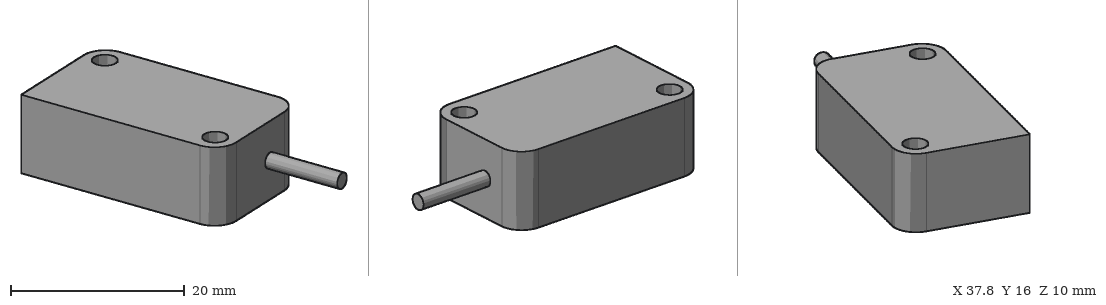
import cadquery as cq

body_length = 27.8
body_width = 16.0
body_height = 10.0
corner_radius = 3.0

hole_diameter = 3.0
hole_end_inset = 2.8
hole_side_inset = 2.85

cable_diameter = 2.0
cable_length = 10.0
cable_y = 10.0
cable_z = body_height / 2


def make_housing():
    """Block with three rounded upright corners; the corner at the origin stays sharp."""
    block = cq.Workplane("XY").box(body_length, body_width, body_height, centered=False)
    rounded = block.faces(">X").edges("|Z").fillet(corner_radius)
    return rounded.edges("|Z").edges("<X").edges(">Y").fillet(corner_radius)


def drill_mounting_holes(housing):
    """Through holes near the (-X, +Y) and (+X, -Y) corners."""
    hole_centers = [
        (hole_end_inset, body_width - hole_side_inset),
        (body_length - hole_end_inset, hole_side_inset),
    ]
    drills = (
        cq.Workplane("XY")
        .pushPoints(hole_centers)
        .circle(hole_diameter / 2)
        .extrude(body_height)
    )
    return housing.cut(drills)


def make_cable():
    """Straight cable stub running along +X from the end face."""
    return (
        cq.Workplane("YZ", origin=(body_length, cable_y, cable_z))
        .circle(cable_diameter / 2)
        .extrude(cable_length)
    )


result = drill_mounting_holes(make_housing()).union(make_cable())